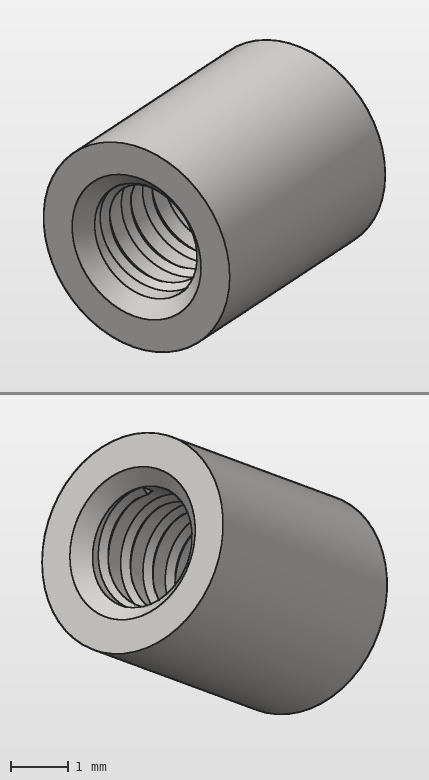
import cadquery as cq

OUTER_DIAMETER = 3.96
LENGTH = 4.75

BORE_DIAMETER = 2.175
COUNTERSINK_DIAMETER = 2.74

CREST_DIAMETER = 1.97
TURNS = 6
RIDGE_WIDTH = 0.29
END_GAP = 0.01
ROOT_EMBED = 0.05
FUSE_TOLERANCE = 0.0001

outer_radius = OUTER_DIAMETER / 2
bore_radius = BORE_DIAMETER / 2
countersink_radius = COUNTERSINK_DIAMETER / 2
crest_radius = CREST_DIAMETER / 2

countersink_depth = countersink_radius - bore_radius
bore_start = -LENGTH / 2 + countersink_depth
bore_length = LENGTH - 2 * countersink_depth

pitch = (bore_length - 2 * END_GAP - RIDGE_WIDTH) / TURNS


def make_sleeve():
    """Tube with a countersink at both ends, revolved about Y."""
    half_length = LENGTH / 2
    wall = (
        cq.Workplane("XY")
        .moveTo(outer_radius, -half_length)
        .lineTo(countersink_radius, -half_length)
        .lineTo(bore_radius, bore_start)
        .lineTo(bore_radius, -bore_start)
        .lineTo(countersink_radius, half_length)
        .lineTo(outer_radius, half_length)
        .close()
    )
    return wall.revolve(360, (0, 0, 0), (0, 1, 0))


def make_thread():
    """Helical ridge, built about Z with its start on +X, then stood in the bore."""
    root_radius = bore_radius + ROOT_EMBED
    path = cq.Wire.makeHelix(pitch, TURNS * pitch, bore_radius, lefthand=True)
    ridge = (
        cq.Workplane("XZ")
        .moveTo(root_radius, 0)
        .lineTo(bore_radius, 0)
        .lineTo(crest_radius, RIDGE_WIDTH / 2)
        .lineTo(bore_radius, RIDGE_WIDTH)
        .lineTo(root_radius, RIDGE_WIDTH)
        .close()
        .sweep(cq.Workplane(path), isFrenet=True)
    )
    thread_start = bore_start + END_GAP
    bore_frame = cq.Plane(origin=(0, thread_start, 0), xDir=(0, 0, 1), normal=(0, 1, 0))
    return cq.Workplane(ridge.val().moved(cq.Location(bore_frame)))


result = make_sleeve().union(make_thread(), tol=FUSE_TOLERANCE)